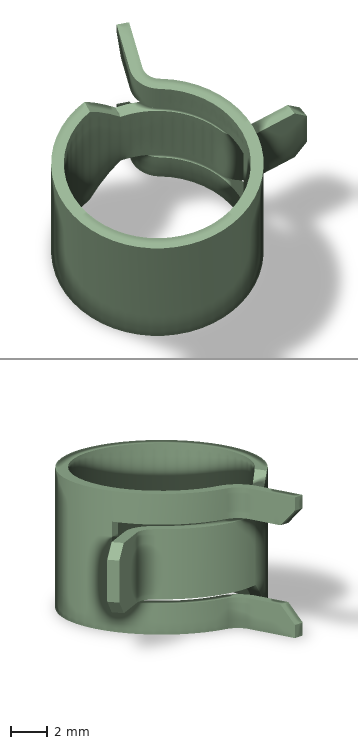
import cadquery as cq
import math

band_height = 8.0
outer_diameter = 11.7
wall = 0.7
overall_length = 14.32

tongue_width = 4.0
strip_width = 1.75
shoulder_taper = 2.0
overlap_start = 45.0

bend_offset_angle = 20.5
bend_inner_radius = 1.0
ear_angle = 55.0
tongue_corner = 0.8
strip_corner = 1.0

outer_radius = outer_diameter / 2
inner_radius = outer_radius - wall
bend_outer_radius = bend_inner_radius + wall
ear_tip_y = overall_length - outer_radius
beyond_ring = outer_diameter


def polar(radius, degrees, center=(0.0, 0.0)):
    angle = math.radians(degrees)
    return (center[0] + radius * math.cos(angle), center[1] + radius * math.sin(angle))


ear_direction = 180 - ear_angle
inward_normal = ear_direction - 90
bend_start = 90 + bend_offset_angle
bend_center = polar(outer_radius + bend_inner_radius, bend_start)


def ear_strip(width, z_bottom, corner_size, corner_side):
    """Strip following the ring over +Y and bending into the -X ear, with 45 degree tip corners."""
    ring_middle = (overlap_start + bend_start) / 2
    bend_on_ring = bend_start - 180
    bend_on_ear = inward_normal - 180
    bend_middle = (bend_on_ring + bend_on_ear) / 2

    near_bend_end = polar(bend_inner_radius, bend_on_ear, bend_center)
    far_bend_end = polar(bend_outer_radius, bend_on_ear, bend_center)
    ear_length = (ear_tip_y - near_bend_end[1]) / math.sin(math.radians(ear_direction))

    strip = (
        cq.Workplane("XY")
        .workplane(offset=z_bottom)
        .moveTo(*polar(outer_radius, overlap_start))
        .threePointArc(polar(outer_radius, ring_middle), polar(outer_radius, bend_start))
        .threePointArc(polar(bend_inner_radius, bend_middle, bend_center), near_bend_end)
        .lineTo(*polar(ear_length, ear_direction, near_bend_end))
        .lineTo(*polar(ear_length, ear_direction, far_bend_end))
        .lineTo(*far_bend_end)
        .threePointArc(
            polar(bend_outer_radius, bend_middle, bend_center),
            polar(inner_radius, bend_start),
        )
        .threePointArc(polar(inner_radius, ring_middle), polar(inner_radius, overlap_start))
        .close()
        .extrude(width)
    )
    across_wall = cq.Vector(*polar(1, inward_normal))
    tip_corners = strip.edges(cq.selectors.ParallelDirSelector(across_wall))
    if corner_side:
        tip_corners = tip_corners.edges(corner_side)
    return tip_corners.chamfer(corner_size)


def full_width_band():
    """Three-quarter ring at full height, tapering to the tongue width at its -X end."""
    ring = (
        cq.Workplane("XY")
        .circle(outer_radius)
        .circle(inner_radius)
        .extrude(band_height / 2, both=True)
    )
    opening_plane = cq.Plane(
        origin=(0, 0, 0),
        xDir=(*polar(1, overlap_start), 0),
        normal=(*polar(1, 180 - overlap_start), 0),
    )
    taper_low = tongue_width / 2
    taper_high = taper_low + shoulder_taper
    opening = (
        cq.Workplane(opening_plane)
        .polyline([
            (0, taper_low),
            (-shoulder_taper, taper_high),
            (beyond_ring, taper_high),
            (beyond_ring, -taper_high),
            (-shoulder_taper, -taper_high),
            (0, -taper_low),
        ])
        .close()
        .extrude(beyond_ring)
    )
    return ring.cut(opening)


tongue = ear_strip(tongue_width, -tongue_width / 2, tongue_corner, None).mirror("YZ")
upper_strip = ear_strip(strip_width, band_height / 2 - strip_width, strip_corner, "<Z")
lower_strip = upper_strip.mirror("XY")

result = full_width_band().union(upper_strip).union(lower_strip).union(tongue)